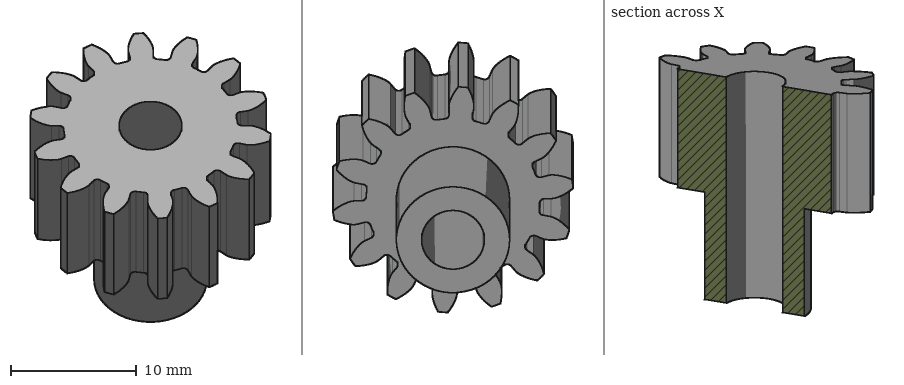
import cadquery as cq
import math

outer_diameter = 19.2
tooth_count = 14
pressure_angle = math.radians(20)
dedendum_factor = 1.25
root_fillet = 0.38
gear_height = 10.0
hub_height = 9.0
hub_diameter = 9.0
bore_diameter = 5.0
flank_points = 7
root_tolerance = 0.12

module = outer_diameter / (tooth_count + 2)
tip_radius = outer_diameter / 2
pitch_radius = module * tooth_count / 2
root_radius = pitch_radius - dedendum_factor * module
base_radius = pitch_radius * math.cos(pressure_angle)
tooth_pitch = 2 * math.pi / tooth_count


def involute(angle):
    return math.tan(angle) - angle


base_half_angle = tooth_pitch / 4 + involute(pressure_angle)


def polar(radius, angle):
    return (radius * math.cos(angle), radius * math.sin(angle))


def flank(center_angle, side):
    """Involute points from base circle to tip; side is -1 or +1 about the tooth axis."""
    points = []
    for i in range(flank_points):
        radius = base_radius + (tip_radius - base_radius) * i / (flank_points - 1)
        half_angle = base_half_angle - involute(math.acos(base_radius / radius))
        points.append(polar(radius, center_angle + side * half_angle))
    return points


def gear_profile():
    """Closed outline: radial root, involute flank and tip arc for each tooth."""
    outline = cq.Workplane("XY").moveTo(*polar(root_radius, -base_half_angle))
    for tooth in range(tooth_count):
        center = tooth * tooth_pitch
        rising = flank(center, -1)
        falling = flank(center, 1)[::-1]
        outline = outline.lineTo(*rising[0])
        outline = outline.spline(rising[1:], includeCurrent=True)
        outline = outline.threePointArc(polar(tip_radius, center), falling[0])
        outline = outline.spline(falling[1:], includeCurrent=True)
        outline = outline.lineTo(*polar(root_radius, center + base_half_angle))
        outline = outline.threePointArc(
            polar(root_radius, center + tooth_pitch / 2),
            polar(root_radius, center + tooth_pitch - base_half_angle),
        )
    return outline.close()


gear = gear_profile().extrude(gear_height)
root_corners = gear.edges("|Z").filter(
    lambda edge: math.hypot(edge.Center().x, edge.Center().y) < root_radius + root_tolerance
)
head = root_corners.fillet(root_fillet)

hub = cq.Workplane("XY").circle(hub_diameter / 2).extrude(hub_height)
body = hub.union(head.translate((0, 0, hub_height)))

bore = cq.Workplane("XY").circle(bore_diameter / 2).extrude(hub_height + gear_height)
result = body.cut(bore)